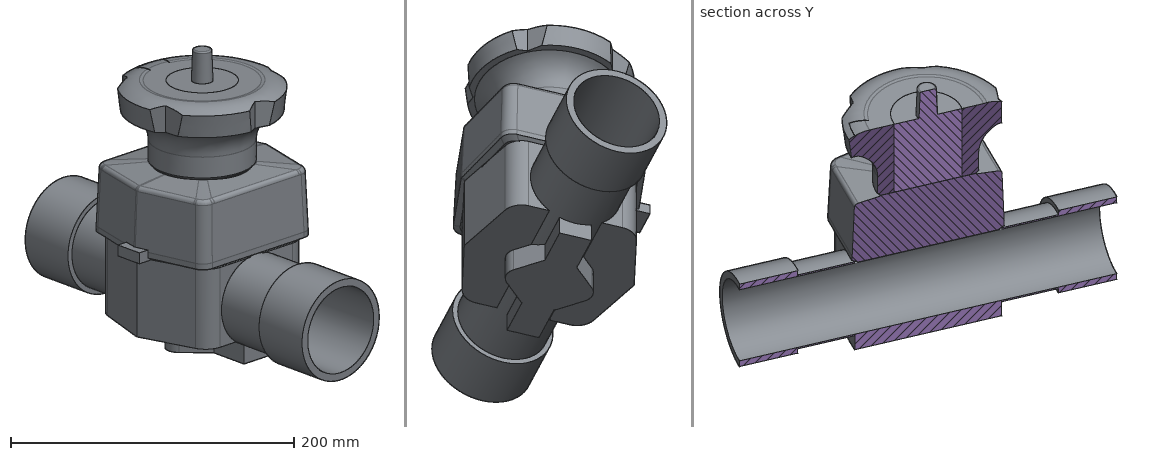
import cadquery as cq
import math


overall_length = 284.0
socket_diameter = 75.3
socket_radius = socket_diameter / 2
socket_length = 44.0
pipe_radius = 33.8
bore_radius = 32.0
block_half_x = 55.5
block_corner_y = 46.0
block_peak_y = 63.5
block_corner_radius = 14.8
block_bottom_z = -27.5
block_top_z = 32.7

foot_bottom_z = -46.3
foot_half_width = 12.0
foot_nose_base_x = 24.5
foot_nose_tip_y = 32.5
foot_nose_radius = 10.2

bonnet_half_x = 57.5
bonnet_corner_y = 52.3
bonnet_peak_y = 66.0
bonnet_corner_radius = 9.7
bonnet_peak_radius = 2.8
bonnet_bottom_scale = 0.93
bonnet_top_scale = 0.97
rim_bottom_z = 35.0
rim_top_z = 39.2
eave_z = 85.5
roof_rise = 2.8
roof_top_scale = 0.53 * bonnet_top_scale
eave_radius = 3.5
seat_radius = 36.4
seat_top_z = eave_z + roof_rise
tab_width = 22.0
tab_tip_y = -71.5
tab_top_z = 41.0

hub_radius = 38.3
hub_chamfer = 2.0
hub_top_z = 106.0
flare_radius = 52.8
rim_lower_radius = 58.0
rim_upper_radius = 60.0
rim_lower_z = 128.0
rim_upper_z = 145.0
wheel_top_z = 150.0
crown_inner_radius = 44.3
recess_floor_radius = 41.7
recess_depth = 0.3
recess_floor_z = wheel_top_z - recess_depth
grip_count = 5
grip_depth_radius = 54.0
grip_long_angle = 15.0
grip_short_angle = -9.5
grip_reach = 2.0
pocket_outer_radius = 55.5
pocket_inner_x = 39.8
pocket_low_y = -12.8
pocket_high_y = 12.0
pocket_inner_high_y = 6.8

spindle_hub_radius = 25.5
stem_base_radius = 7.7
stem_tip_radius = 6.8
stem_edge_radius = 1.0
stem_top_z = 173.2


def peaked_outline(half_x, corner_y, peak_y, corner_radius, peak_radius, scale, z):
    """Closed six-sided wire with flat X sides, peaked Y sides and rounded vertices."""
    corners = [(half_x, -corner_y), (half_x, corner_y), (0, peak_y),
               (-half_x, corner_y), (-half_x, -corner_y), (0, -peak_y)]
    wire = cq.Wire.makePolygon([cq.Vector(x * scale, y * scale, z) for x, y in corners], close=True)
    wire = wire.fillet2D(corner_radius * scale, [v for v in wire.Vertices() if abs(v.X) > corner_radius])
    if peak_radius:
        wire = wire.fillet2D(peak_radius * scale, [v for v in wire.Vertices() if abs(v.X) < peak_radius])
    return wire


def cylinder_along_x(radius, start_x, end_x):
    return cq.Workplane("YZ", origin=(start_x, 0, 0)).circle(radius).extrude(end_x - start_x)


def make_foot():
    """Bar along X, up to the pipe axis, with a 45 degree, round-tipped nose on each Y side."""
    diagonal = math.sqrt(0.5)
    nose_half_x = foot_nose_radius * diagonal
    nose_side_y = foot_nose_tip_y - foot_nose_radius * (1 - diagonal)
    return (
        cq.Workplane("XY", origin=(0, 0, foot_bottom_z))
        .moveTo(-block_half_x, -foot_half_width)
        .lineTo(-foot_nose_base_x, -foot_half_width)
        .lineTo(-nose_half_x, -nose_side_y)
        .threePointArc((0, -foot_nose_tip_y), (nose_half_x, -nose_side_y))
        .lineTo(foot_nose_base_x, -foot_half_width)
        .lineTo(block_half_x, -foot_half_width)
        .lineTo(block_half_x, foot_half_width)
        .lineTo(foot_nose_base_x, foot_half_width)
        .lineTo(nose_half_x, nose_side_y)
        .threePointArc((0, foot_nose_tip_y), (-nose_half_x, nose_side_y))
        .lineTo(-foot_nose_base_x, foot_half_width)
        .lineTo(-block_half_x, foot_half_width)
        .close()
        .extrude(-foot_bottom_z)
    )


def make_valve_body():
    half_length = overall_length / 2
    socket_start = half_length - socket_length
    outline = peaked_outline(block_half_x, block_corner_y, block_peak_y, block_corner_radius,
                             peak_radius=0, scale=1, z=block_bottom_z)
    block = cq.Workplane("XY").add(outline).toPending().extrude(block_top_z - block_bottom_z)
    above_block = (
        cq.Workplane("XY", origin=(0, 0, block_top_z))
        .rect(2 * block_half_x, 2 * pipe_radius)
        .extrude(pipe_radius - block_top_z)
    )
    pipe = cylinder_along_x(pipe_radius, -socket_start, socket_start).cut(above_block)
    body = block.union(pipe).union(make_foot())
    body = body.union(cylinder_along_x(socket_radius, -half_length, -socket_start))
    body = body.union(cylinder_along_x(socket_radius, socket_start, half_length))
    return body.cut(cylinder_along_x(bore_radius, -half_length, half_length))


def make_bonnet():
    levels = [(bonnet_bottom_scale, block_top_z), (1, rim_bottom_z), (1, rim_top_z),
              (bonnet_top_scale, eave_z), (roof_top_scale, eave_z + roof_rise)]
    outlines = [
        peaked_outline(bonnet_half_x, bonnet_corner_y, bonnet_peak_y,
                       bonnet_corner_radius, bonnet_peak_radius, scale, z)
        for scale, z in levels
    ]
    shell = cq.Workplane(cq.Solid.makeLoft(outlines, True))
    half_gap = roof_rise / 2
    eave_zone = cq.selectors.BoxSelector(
        (-bonnet_half_x, -bonnet_peak_y, eave_z - half_gap),
        (bonnet_half_x, bonnet_peak_y, eave_z + half_gap),
    )
    shell = shell.edges(eave_zone).fillet(eave_radius)
    seat = cq.Workplane("XY", origin=(0, 0, rim_top_z)).circle(seat_radius).extrude(seat_top_z - rim_top_z)
    tab = (
        cq.Workplane("XY", origin=(0, tab_tip_y / 2, block_top_z))
        .rect(tab_width, -tab_tip_y)
        .extrude(tab_top_z - block_top_z)
    )
    return shell.union(seat).union(tab)


def crown_arc_points(drop):
    """Middle and outer points of the crown arc, which is level at its inner end."""
    run = rim_upper_radius - crown_inner_radius
    fall = wheel_top_z - rim_upper_z
    arc_radius = (run**2 + fall**2) / (2 * fall)
    half_angle = math.asin(run / arc_radius) / 2
    middle = (crown_inner_radius + arc_radius * math.sin(half_angle),
              wheel_top_z - arc_radius * (1 - math.cos(half_angle)) - drop)
    return middle, (rim_upper_radius, rim_upper_z - drop)


def flare_middle():
    """Middle point of the flare arc, which leaves the hub tangent to its side."""
    run = flare_radius - hub_radius
    rise = rim_lower_z - hub_top_z
    arc_radius = (run**2 + rise**2) / (2 * run)
    half_angle = math.asin(rise / arc_radius) / 2
    return (hub_radius + arc_radius * (1 - math.cos(half_angle)),
            hub_top_z + arc_radius * math.sin(half_angle))


def make_wheel_blank():
    crown_middle, crown_outer = crown_arc_points(0)
    return (
        cq.Workplane("XZ")
        .moveTo(spindle_hub_radius, seat_top_z)
        .lineTo(hub_radius - hub_chamfer, seat_top_z)
        .lineTo(hub_radius, seat_top_z + hub_chamfer)
        .lineTo(hub_radius, hub_top_z)
        .threePointArc(flare_middle(), (flare_radius, rim_lower_z))
        .lineTo(rim_lower_radius, rim_lower_z)
        .lineTo(*crown_outer)
        .threePointArc(crown_middle, (crown_inner_radius, wheel_top_z))
        .lineTo(recess_floor_radius, recess_floor_z)
        .lineTo(spindle_hub_radius, recess_floor_z)
        .close()
        .revolve()
    )


def grip_point(angle):
    """Point outside the rim on the straight line from the notch root through the rim at this angle."""
    root_x = grip_depth_radius
    rim_x = rim_upper_radius * math.cos(math.radians(angle))
    rim_y = rim_upper_radius * math.sin(math.radians(angle))
    return (root_x + grip_reach * (rim_x - root_x), grip_reach * rim_y)


def make_grip_notch():
    return (
        cq.Workplane("XY", origin=(0, 0, rim_lower_z))
        .polyline([(grip_depth_radius, 0), grip_point(grip_short_angle), grip_point(grip_long_angle)])
        .close()
        .extrude(wheel_top_z - rim_lower_z)
    )


def make_pointer_pocket():
    """Shallow pocket on the -X side whose floor runs parallel to the crown."""
    crown_middle, crown_outer = crown_arc_points(recess_depth)
    ring = (
        cq.Workplane("XZ")
        .moveTo(recess_floor_radius, recess_floor_z)
        .lineTo(crown_inner_radius, recess_floor_z)
        .threePointArc(crown_middle, crown_outer)
        .lineTo(rim_upper_radius, wheel_top_z)
        .lineTo(recess_floor_radius, wheel_top_z)
        .close()
        .revolve()
    )
    pointer_height = wheel_top_z - rim_lower_z
    pointer = (
        cq.Workplane("XY", origin=(0, 0, rim_lower_z))
        .polyline([(-pocket_inner_x, pocket_inner_high_y), (-pocket_outer_radius, pocket_high_y),
                   (-pocket_outer_radius, pocket_low_y), (-pocket_inner_x, pocket_low_y)])
        .close()
        .extrude(pointer_height)
    )
    limit = cq.Workplane("XY", origin=(0, 0, rim_lower_z)).circle(pocket_outer_radius).extrude(pointer_height)
    return ring.intersect(pointer).intersect(limit)


def make_handwheel():
    wheel = make_wheel_blank()
    notch = make_grip_notch()
    for index in range(grip_count):
        wheel = wheel.cut(notch.rotate((0, 0, 0), (0, 0, 1), index * 360 / grip_count))
    return wheel.cut(make_pointer_pocket())


def make_spindle():
    """Hub flush with the handwheel recess, with a slightly tapered stem above it."""
    spindle = (
        cq.Workplane("XZ")
        .moveTo(0, seat_top_z)
        .lineTo(spindle_hub_radius, seat_top_z)
        .lineTo(spindle_hub_radius, recess_floor_z)
        .lineTo(stem_base_radius, recess_floor_z)
        .lineTo(stem_tip_radius, stem_top_z)
        .lineTo(0, stem_top_z)
        .close()
        .revolve()
    )
    return spindle.faces(">Z").edges().fillet(stem_edge_radius)


valve_body = make_valve_body()
bonnet = make_bonnet()
handwheel = make_handwheel()
spindle = make_spindle()

result = cq.Compound.makeCompound([valve_body.val(), bonnet.val(), handwheel.val(), spindle.val()])